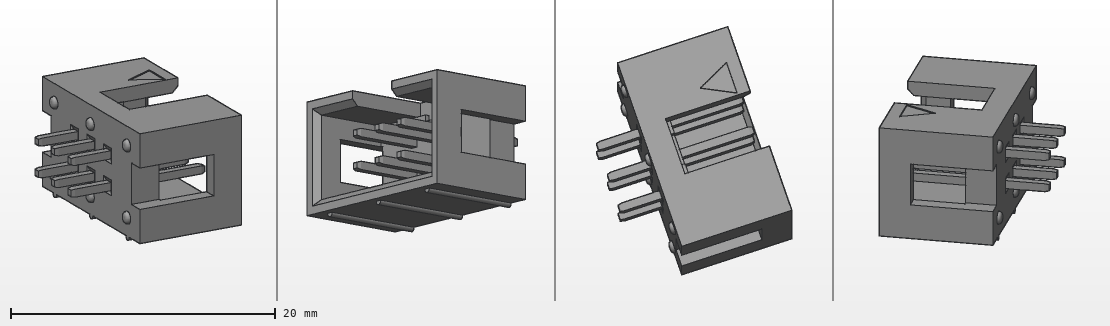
import cadquery as cq


body_width = 15.12
body_depth = 8.8
body_height = 8.8
side_wall = 1.12
long_wall = 1.13
floor_depth = 2.4
cavity_width = body_width - 2 * side_wall
cavity_height = body_height - 2 * long_wall
lip_depth = 0.5
lip_rise = 0.5

latch_height = 3.31
latch_recess_depth = 1.33
window_end = 6.4

key_width = 4.54
key_start = 2.04
key_notch_width = 2.5
key_notch_depth = 0.5

pitch = 2.54
columns = 3
rows = 2
pin_size = 0.65
pin_tail = 3.3
pin_end = body_depth - lip_depth
tip_length = 0.32
tail_tip_size = 0.51
mating_tip_size = 0.45
funnel_size = 1.24
funnel_depth = 0.12

button_spacing_x = 5.64
button_spacing_z = 2.89
button_radius = 0.5
button_height = 0.3

rib_width = 0.51
rib_height = 0.3
rib_length = 8.16

mark_x = -3.69
mark_apex_y = 5.29
mark_size = 2.51
mark_depth = 0.09

top_z = body_height / 2
pin_positions = [
    ((column - (columns - 1) / 2) * pitch, (row - (rows - 1) / 2) * pitch)
    for column in range(columns)
    for row in range(rows)
]


def block(width, y_start, y_end, z_low, z_high, x_center=0.0):
    """Box centred on x_center, given by its Y and Z limits."""
    return cq.Workplane("XY").box(
        width, y_end - y_start, z_high - z_low, centered=(True, False, False)
    ).translate((x_center, y_start, z_low))


def square_frustum(x, z, y_start, size_start, y_end, size_end):
    """Square section running along Y and changing size from start to end."""
    return (
        cq.Workplane("XZ", origin=(x, y_start, z))
        .rect(size_start, size_start)
        .workplane(offset=y_start - y_end)
        .rect(size_end, size_end)
        .loft(ruled=True)
    )


def mating_cavity():
    """Rectangular cavity with lead-in slopes all around its opening."""
    lip_start = body_depth - lip_depth
    half = cavity_height / 2
    cavity = block(cavity_width, floor_depth, lip_start, -half, half)
    lead_in = (
        cq.Workplane("XZ", origin=(0, lip_start, 0))
        .rect(cavity_width, cavity_height)
        .workplane(offset=-lip_depth)
        .rect(cavity_width + 2 * lip_rise, cavity_height + 2 * lip_rise)
        .loft(ruled=True)
    )
    return cavity.union(lead_in)


def latch_cut(side):
    """Recess open to the mounting face, and the window beyond it into the cavity."""
    half = latch_height / 2
    x_center = side * (body_width - latch_recess_depth) / 2
    return block(latch_recess_depth, 0, window_end, -half, half, x_center)


def key_slot():
    """Slot through the top wall, ending in a ledge with a deeper middle notch."""
    ledge_z = cavity_height / 2
    slot = block(key_width, key_start, body_depth, ledge_z, top_z)
    notch = block(key_notch_width, key_start, floor_depth, ledge_z - key_notch_depth, ledge_z)
    return slot.union(notch)


def pin_one_mark():
    base_y = mark_apex_y + mark_size
    return (
        cq.Workplane("XY", origin=(mark_x, 0, top_z - mark_depth))
        .polyline([(0, mark_apex_y), (mark_size / 2, base_y), (-mark_size / 2, base_y)])
        .close()
        .extrude(mark_depth)
    )


def pin(x, z):
    """Square pin with tapered tips at both ends."""
    tail_taper = tip_length - pin_tail
    mating_taper = pin_end - tip_length
    shank = block(pin_size, tail_taper, mating_taper, z - pin_size / 2, z + pin_size / 2, x)
    tail_tip = square_frustum(x, z, tail_taper, pin_size, -pin_tail, tail_tip_size)
    mating_tip = square_frustum(x, z, mating_taper, pin_size, pin_end, mating_tip_size)
    return shank.union(tail_tip).union(mating_tip)


def button(x, z):
    """Round standoff whose rim is a full quarter round."""
    face_radius = button_radius - button_height
    diagonal = button_height * 0.5 ** 0.5
    return (
        cq.Workplane("XY")
        .lineTo(button_radius, 0)
        .threePointArc((face_radius + diagonal, -diagonal), (face_radius, -button_height))
        .lineTo(0, -button_height)
        .close()
        .revolve(360, (0, 0), (0, 1))
        .translate((x, 0, z))
    )


def rib(x):
    """Round-edged rib hanging from the bottom face."""
    radius = rib_width / 2
    arc_z = radius - rib_height
    return (
        cq.Workplane("XZ", origin=(x, 0, -top_z))
        .moveTo(-radius, 0)
        .lineTo(-radius, arc_z)
        .threePointArc((0, -rib_height), (radius, arc_z))
        .lineTo(radius, 0)
        .close()
        .extrude(-rib_length)
    )


result = block(body_width, 0, body_depth, -top_z, top_z)
result = result.cut(mating_cavity())
result = result.cut(key_slot())
result = result.cut(pin_one_mark())
for side in (-1, 1):
    result = result.cut(latch_cut(side))

for x, z in pin_positions:
    result = result.cut(square_frustum(x, z, 0, funnel_size, funnel_depth, pin_size))
    result = result.union(pin(x, z))

for x in (-button_spacing_x, 0, button_spacing_x):
    result = result.union(rib(x))
    for z in (-button_spacing_z, button_spacing_z):
        result = result.union(button(x, z))